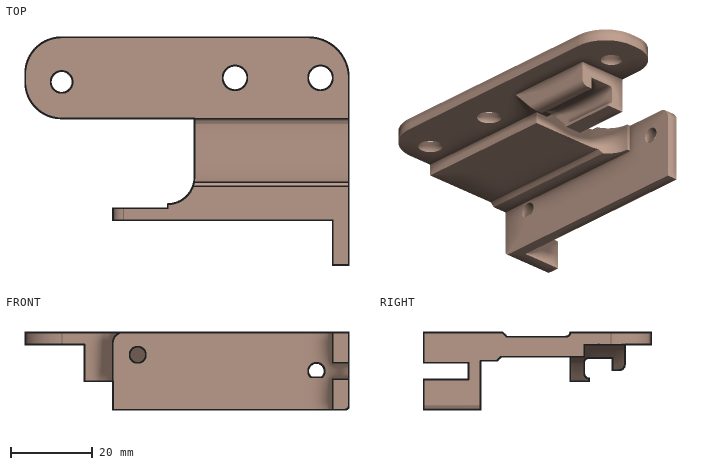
import cadquery as cq
import math


LENGTH = 79.59
DEPTH = 56.0
HEIGHT = 19.0

BAR_WIDTH = 20.0
BAR_THICKNESS = 3.0
BAR_FRONT = DEPTH - BAR_WIDTH
BAR_LEFT_RADIUS = 9.0
BAR_RIGHT_RADIUS = 10.0
SMALL_HOLE_DIAMETER = 5.3
LARGE_HOLE_DIAMETER = 6.0
RIGHT_HOLE_INSET = 7.0
LARGE_HOLE_PITCH = 21.0

WALL_LENGTH = 58.0
WALL_THICKNESS = 3.0
PRONG_LENGTH = 11.0
PRONG_WIDTH = 4.0
PRONG_GAP = 4.0
WALL_FRONT = PRONG_LENGTH
WALL_BACK = WALL_FRONT + WALL_THICKNESS
WALL_CORNER_RADIUS = 2.5
LOWER_CORNER_RADIUS = 1.0
WALL_HOLE_DIAMETER = 4.0
ROUND_HOLE_X = -51.9
ROUND_HOLE_Z = -5.5
FLAT_HOLE_X = -8.0
FLAT_HOLE_Z = -HEIGHT / 2
FLAT_DROP = 1.5

BRIDGE_LENGTH = 38.0
BRIDGE_TOP = -1.0
BRIDGE_BOTTOM = -6.0
BRIDGE_OVERLAP = 3.5
BRIDGE_FILLET = 1.0
RIB_BOTTOM = -7.0
RIB_TOP_BACK = 19.4
RIB_BOTTOM_BACK = 18.0
RIB_CHAMFER = 1.0
RIB_CORNER_RADIUS = 6.55
RIB_STEP = 1.0

CLIP_LEFT = -65.0
CLIP_BOTTOM_RIGHT = -49.8
CLIP_TOP_RIGHT = -41.1
CLIP_BOTTOM = -12.0
CLIP_WIDTH = 13.5
CLIP_CEILING = -6.3
FRONT_LEG_THICKNESS = 3.5
FRONT_LEG_FILLET = 1.0
REAR_LEG_THICKNESS = 3.1
REAR_LEG_BOTTOM = -9.3
REAR_LEG_RADIUS = 1.5
LIP_REACH = 1.2
LIP_THICKNESS = 0.7


def box(x_range, y_range, z_range):
    """Box spanning the given (low, high) ranges."""
    (x0, x1), (y0, y1), (z0, z1) = x_range, y_range, z_range
    return cq.Workplane("XY").box(x1 - x0, y1 - y0, z1 - z0, centered=False).translate((x0, y0, z0))


def mounting_bar():
    """Flat bar with rounded corners and three vertical holes."""
    bar = box((-LENGTH, 0), (BAR_FRONT, DEPTH), (-BAR_THICKNESS, 0))
    bar = bar.edges("|Z and <X").fillet(BAR_LEFT_RADIUS)
    bar = bar.edges("|Z and >X and >Y").fillet(BAR_RIGHT_RADIUS)
    left_hole = (BAR_LEFT_RADIUS - LENGTH, BAR_FRONT + BAR_LEFT_RADIUS)
    large_hole_y = DEPTH - BAR_RIGHT_RADIUS
    large_holes = [(-RIGHT_HOLE_INSET - i * LARGE_HOLE_PITCH, large_hole_y) for i in range(2)]
    top = bar.faces(">Z").workplane(origin=(0, 0, 0))
    bar = top.pushPoints([left_hole]).hole(SMALL_HOLE_DIAMETER)
    top = bar.faces(">Z").workplane(origin=(0, 0, 0))
    return top.pushPoints(large_holes).hole(LARGE_HOLE_DIAMETER)


def wall_hole(x, z):
    """Cylinder along Y that crosses the front wall."""
    radius = WALL_HOLE_DIAMETER / 2
    return cq.Workplane("XZ", origin=(x, WALL_BACK, z)).circle(radius).extrude(WALL_THICKNESS)


def front_wall():
    """Upright wall with two prongs, a round hole and a hole with a flat floor."""
    wall = box((-WALL_LENGTH, 0), (WALL_FRONT, WALL_BACK), (-HEIGHT, 0))
    wall = wall.edges("|Y and <X and >Z").fillet(WALL_CORNER_RADIUS)
    wall = wall.union(box((-PRONG_WIDTH, 0), (0, WALL_FRONT), (-HEIGHT, 0)))
    gap_range = (-(HEIGHT + PRONG_GAP) / 2, -(HEIGHT - PRONG_GAP) / 2)
    wall = wall.cut(box((-PRONG_WIDTH, 0), (0, WALL_FRONT), gap_range))
    wall = wall.edges("|Y and >X and <Z").fillet(LOWER_CORNER_RADIUS)
    radius = WALL_HOLE_DIAMETER / 2
    below_flat = box(
        (FLAT_HOLE_X - radius, FLAT_HOLE_X + radius),
        (WALL_FRONT, WALL_BACK),
        (FLAT_HOLE_Z - radius, FLAT_HOLE_Z - FLAT_DROP),
    )
    flat_hole = wall_hole(FLAT_HOLE_X, FLAT_HOLE_Z).cut(below_flat)
    return wall.cut(wall_hole(ROUND_HOLE_X, ROUND_HOLE_Z)).cut(flat_hole)


def bridge():
    """Recessed plate and the rib behind the wall, cut to one plan outline."""
    fillet_mid = BRIDGE_FILLET * (1 - math.sqrt(0.5))
    corner_x = -BRIDGE_LENGTH - RIB_CORNER_RADIUS
    corner_y = WALL_BACK + RIB_STEP
    arc_offset = RIB_CORNER_RADIUS * math.sqrt(0.5)
    section = (
        cq.Workplane("YZ")
        .moveTo(WALL_BACK, 0)
        .lineTo(RIB_TOP_BACK, 0)
        .lineTo(RIB_TOP_BACK + RIB_CHAMFER, BRIDGE_TOP)
        .lineTo(BAR_FRONT - BRIDGE_FILLET, BRIDGE_TOP)
        .threePointArc(
            (BAR_FRONT - fillet_mid, BRIDGE_TOP + fillet_mid),
            (BAR_FRONT, BRIDGE_TOP + BRIDGE_FILLET),
        )
        .lineTo(BAR_FRONT, -BAR_THICKNESS)
        .lineTo(BAR_FRONT + BRIDGE_OVERLAP, -BAR_THICKNESS)
        .lineTo(BAR_FRONT + BRIDGE_OVERLAP, BRIDGE_BOTTOM)
        .lineTo(RIB_BOTTOM_BACK + RIB_CHAMFER, BRIDGE_BOTTOM)
        .lineTo(RIB_BOTTOM_BACK, RIB_BOTTOM)
        .lineTo(WALL_BACK, RIB_BOTTOM)
        .close()
        .extrude(corner_x)
    )
    outline = (
        cq.Workplane("XY", origin=(0, 0, -HEIGHT))
        .moveTo(0, WALL_BACK)
        .lineTo(0, DEPTH)
        .lineTo(-BRIDGE_LENGTH, DEPTH)
        .lineTo(-BRIDGE_LENGTH, corner_y + RIB_CORNER_RADIUS)
        .threePointArc(
            (corner_x + arc_offset, corner_y + RIB_CORNER_RADIUS - arc_offset),
            (corner_x, corner_y),
        )
        .lineTo(corner_x, WALL_BACK)
        .close()
        .extrude(HEIGHT)
    )
    return section.intersect(outline)


def clip():
    """Two-legged snap clip with a sloped right end."""
    leg_inner = BAR_FRONT + FRONT_LEG_THICKNESS
    lip_tip = leg_inner + LIP_REACH
    lip_top = CLIP_BOTTOM + LIP_THICKNESS
    rear = BAR_FRONT + CLIP_WIDTH
    rear_inner = rear - REAR_LEG_THICKNESS
    profile = (
        cq.Workplane("YZ", origin=(CLIP_LEFT, 0, 0))
        .moveTo(BAR_FRONT, -BAR_THICKNESS)
        .lineTo(BAR_FRONT, CLIP_BOTTOM)
        .lineTo(lip_tip, CLIP_BOTTOM)
        .lineTo(lip_tip, lip_top)
        .radiusArc((leg_inner, lip_top + LIP_REACH), LIP_REACH)
        .lineTo(leg_inner, CLIP_CEILING - FRONT_LEG_FILLET)
        .radiusArc((leg_inner + FRONT_LEG_FILLET, CLIP_CEILING), FRONT_LEG_FILLET)
        .lineTo(rear_inner, CLIP_CEILING)
        .lineTo(rear_inner, REAR_LEG_BOTTOM)
        .lineTo(rear - REAR_LEG_RADIUS, REAR_LEG_BOTTOM)
        .radiusArc((rear, REAR_LEG_BOTTOM + REAR_LEG_RADIUS), -REAR_LEG_RADIUS)
        .lineTo(rear, -BAR_THICKNESS)
        .close()
        .extrude(CLIP_TOP_RIGHT - CLIP_LEFT)
    )
    slope = (
        cq.Workplane("XZ", origin=(0, BAR_FRONT, 0))
        .moveTo(CLIP_TOP_RIGHT, -BAR_THICKNESS)
        .lineTo(CLIP_BOTTOM_RIGHT, CLIP_BOTTOM)
        .lineTo(CLIP_TOP_RIGHT, CLIP_BOTTOM)
        .close()
        .extrude(-CLIP_WIDTH)
    )
    return profile.cut(slope)


result = mounting_bar().union(front_wall()).union(bridge()).union(clip())